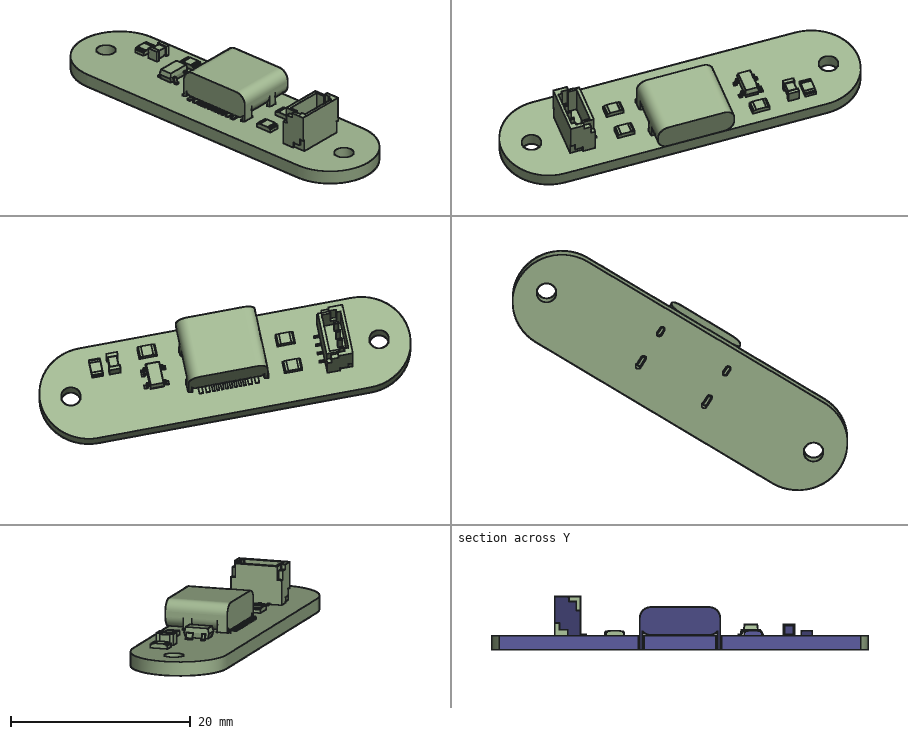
import cadquery as cq

board_length = 42.0
board_width = 11.0
board_thickness = 1.6
mount_hole_diameter = 2.2
mount_hole_x = 17.5

usb_width = 9.0
usb_depth = 7.3
usb_height = 3.15
usb_clearance = 0.05
usb_corner_radius = 1.25
usb_leg_thickness = 0.35
usb_slot_diameter = 0.6
usb_slot_x = 4.33
usb_front_slot_y = -1.3
usb_front_slot_length = 1.7
usb_front_leg_width = 1.18
usb_rear_slot_y = 2.9
usb_rear_slot_length = 1.2
usb_rear_leg_width = 1.0
usb_contact_reach = 0.7
usb_contact_height = 0.13
usb_contact_root = 0.4
usb_signal_count = 8
usb_signal_pitch = 0.5
usb_signal_width = 0.25
usb_power_width = 0.4
usb_power_offsets = (2.4, 3.2)

header_x = 12.5
header_y = 0.13
header_size_x = 2.9
header_size_y = 5.95
header_height = 4.35
header_cavity_min_x = 11.45
header_cavity_max_x = 13.6
header_cavity_size_y = 4.45
header_floor = 1.0
header_key_x = 12.8
header_key_width = 0.67
header_key_size_y = 5.1
header_key_floor = 2.1
header_end_notch = 0.5
header_foot_notch = 0.2
header_outer_notch_x = 11.55
header_outer_notch_z = 2.8
header_inner_notch_x = 12.35
header_inner_notch_z = 3.82
header_foot_step_x = 12.5
header_foot_step_z = 0.65
header_foot_edge_x = 13.45
header_foot_edge_z = 1.4
header_way_count = 4
header_pitch = 1.0
header_pin_x = 12.98
header_pin_length = 0.5
header_pin_width = 0.2
header_pin_top = 3.02
header_lead_reach = 0.65
header_lead_height = 0.13

transistor_x = -7.9
transistor_y = 0.38
transistor_waist_x = 1.6
transistor_waist_y = 2.95
transistor_inset_x = 0.1
transistor_inset_y = 0.15
transistor_bottom_z = 0.1
transistor_waist_z = 0.67
transistor_top_z = 1.25
lead_shoulder_reach = 1.05
lead_heel_reach = 1.18
lead_toe_reach = 1.4
lead_thickness = 0.13
lead_shoulder_z = 0.67
lead_row_y = 0.92
lead_narrow_width = 0.38
lead_wide_width = 0.75

chip_length = 2.0
chip_width = 1.25
resistor_base_height = 0.38
resistor_cap_height = 0.5
resistor_coat_height = 0.55
resistor_cap_step = 0.13
resistor_cap_length = 0.3
capacitor_height = 1.25
capacitor_cap_length = 0.4
capacitor_body_inset = 0.13

capacitor_place = (-12.15, 2.75, 90)
resistor_places = (
    (-14.1, 2.75, 90),
    (-8.15, 3.53, 0),
    (7.22, 1.97, 0),
    (7.4, -1.35, 0),
)


def block(min_x, max_x, min_y, max_y, min_z, max_z):
    """Axis-aligned box given by its limits."""
    size = (max_x - min_x, max_y - min_y, max_z - min_z)
    return cq.Workplane().box(*size, centered=False).translate((min_x, min_y, min_z))


def on_board(body, x, y, angle=0):
    """Turn a body about Z and set it on the board's top face."""
    return body.rotate((0, 0, 0), (0, 0, 1), angle).translate((x, y, board_thickness))


def make_board():
    board = cq.Workplane().slot2D(board_length, board_width).extrude(board_thickness)
    top = board.faces(">Z").workplane(origin=(0, 0, 0))
    board = top.pushPoints([(-mount_hole_x, 0), (mount_hole_x, 0)]).hole(mount_hole_diameter)
    leg_slots = (
        (usb_front_slot_y, usb_front_slot_length),
        (usb_rear_slot_y, usb_rear_slot_length),
    )
    for slot_y, slot_length in leg_slots:
        slots = (
            cq.Workplane()
            .pushPoints([(-usb_slot_x, slot_y), (usb_slot_x, slot_y)])
            .slot2D(slot_length, usb_slot_diameter, 90)
            .extrude(board_thickness)
        )
        board = board.cut(slots)
    return board


def make_usb():
    half_width = usb_width / 2
    mouth_y = board_width / 2
    back_y = mouth_y - usb_depth

    shell = block(-half_width, half_width, back_y, mouth_y, usb_clearance, usb_clearance + usb_height)
    usb = shell.edges("|Y").fillet(usb_corner_radius)

    leg_top = usb_clearance + usb_corner_radius
    rear_leg_min_y = usb_rear_slot_y - usb_rear_leg_width / 2
    leg_starts = ((back_y, usb_front_leg_width), (rear_leg_min_y, usb_rear_leg_width))
    for start_y, width in leg_starts:
        right_leg = block(
            half_width - usb_leg_thickness, half_width,
            start_y, start_y + width,
            -board_thickness, leg_top,
        )
        usb = usb.union(right_leg).union(right_leg.mirror("YZ"))

    contacts = []
    for index in range(usb_signal_count):
        signal_x = (index - (usb_signal_count - 1) / 2) * usb_signal_pitch
        contacts.append((signal_x, usb_signal_width))
    for offset in usb_power_offsets:
        contacts.append((-offset, usb_power_width))
        contacts.append((offset, usb_power_width))
    for contact_x, width in contacts:
        contact = block(
            contact_x - width / 2, contact_x + width / 2,
            back_y - usb_contact_reach, back_y + usb_contact_root,
            0, usb_contact_height,
        )
        usb = usb.union(contact)
    return on_board(usb, 0, 0)


def cut_header_ends(header, min_x, max_x):
    """Step the upper and lower corners of both end faces."""
    end_y = header_size_y / 2
    notches = (
        (min_x, header_outer_notch_x, header_outer_notch_z, header_height, header_end_notch),
        (min_x, header_inner_notch_x, header_inner_notch_z, header_height, header_end_notch),
        (header_foot_step_x, max_x, 0, header_foot_step_z, header_foot_notch),
        (header_foot_edge_x, max_x, 0, header_foot_edge_z, header_foot_notch),
    )
    for start_x, stop_x, start_z, stop_z, depth in notches:
        notch = block(start_x, stop_x, end_y - depth, end_y, start_z, stop_z)
        header = header.cut(notch).cut(notch.mirror("XZ"))
    return header


def make_header():
    """Upright header with an open cavity; built about Y = 0, then moved to its place."""
    min_x = header_x - header_size_x / 2
    max_x = header_x + header_size_x / 2
    end_y = header_size_y / 2
    cavity_y = header_cavity_size_y / 2
    key_y = header_key_size_y / 2

    header = block(min_x, max_x, -end_y, end_y, 0, header_height)
    header = header.cut(block(
        header_cavity_min_x, header_cavity_max_x, -cavity_y, cavity_y, header_floor, header_height,
    ))
    header = header.cut(block(
        header_key_x - header_key_width / 2, header_key_x + header_key_width / 2,
        -key_y, key_y, header_key_floor, header_height,
    ))
    header = cut_header_ends(header, min_x, max_x)

    for index in range(header_way_count):
        way_y = (index - (header_way_count - 1) / 2) * header_pitch
        way_min_y = way_y - header_pin_width / 2
        way_max_y = way_y + header_pin_width / 2
        pin = block(
            header_pin_x - header_pin_length / 2, header_pin_x + header_pin_length / 2,
            way_min_y, way_max_y, header_floor, header_pin_top,
        )
        lead = block(min_x - header_lead_reach, min_x, way_min_y, way_max_y, 0, header_lead_height)
        header = header.union(pin).union(lead)
    return on_board(header, 0, header_y)


def make_lead(width, side, center_y):
    """Gull-wing lead; side is -1 for -X and +1 for +X."""
    shoulder_under = lead_shoulder_z - lead_thickness
    profile = [
        (0, shoulder_under),
        (lead_shoulder_reach - lead_thickness, shoulder_under),
        (lead_heel_reach - lead_thickness, 0),
        (lead_toe_reach, 0),
        (lead_toe_reach, lead_thickness),
        (lead_heel_reach, lead_thickness),
        (lead_shoulder_reach, lead_shoulder_z),
        (0, lead_shoulder_z),
    ]
    points = [(side * reach, height) for reach, height in profile]
    lead = cq.Workplane("XZ").polyline(points).close().extrude(width / 2, both=True)
    return lead.translate((0, center_y, 0))


def make_transistor():
    face_x = transistor_waist_x - 2 * transistor_inset_x
    face_y = transistor_waist_y - 2 * transistor_inset_y

    def half_body(face_z):
        waist_plane = cq.Workplane().workplane(offset=transistor_waist_z)
        waist = waist_plane.rect(transistor_waist_x, transistor_waist_y)
        return waist.workplane(offset=face_z - transistor_waist_z).rect(face_x, face_y).loft()

    body = half_body(transistor_bottom_z).union(half_body(transistor_top_z))

    wide_y = lead_row_y + lead_narrow_width / 2 - lead_wide_width / 2
    body = body.union(make_lead(lead_wide_width, -1, wide_y))
    body = body.union(make_lead(lead_narrow_width, 1, lead_row_y))
    for side in (-1, 1):
        body = body.union(make_lead(lead_narrow_width, side, -lead_row_y))
    return on_board(body, transistor_x, transistor_y)


def make_resistor(x, y, angle):
    """Flat chip: low base, two raised end caps and a thin coat between them."""
    half_length = chip_length / 2
    half_width = chip_width / 2
    cap_outer = half_length - resistor_cap_step
    cap_inner = cap_outer - resistor_cap_length

    resistor = block(-half_length, half_length, -half_width, half_width, 0, resistor_base_height)
    cap = block(cap_inner, cap_outer, -half_width, half_width, 0, resistor_cap_height)
    coat = block(-cap_inner, cap_inner, -half_width, half_width, 0, resistor_coat_height)
    resistor = resistor.union(coat).union(cap).union(cap.mirror("YZ"))
    return on_board(resistor, x, y, angle)


def make_capacitor(x, y, angle):
    """Tall chip: body slightly slimmer than its two end caps."""
    half_length = chip_length / 2
    half_width = chip_width / 2
    cap_inner = half_length - capacitor_cap_length
    body_half_width = half_width - capacitor_body_inset
    body_top = capacitor_height - capacitor_body_inset

    body = block(-cap_inner, cap_inner, -body_half_width, body_half_width, capacitor_body_inset, body_top)
    cap = block(cap_inner, half_length, -half_width, half_width, 0, capacitor_height)
    capacitor = body.union(cap).union(cap.mirror("YZ"))
    return on_board(capacitor, x, y, angle)


board = make_board()
usb = make_usb()
header = make_header()
transistor = make_transistor()
capacitor = make_capacitor(*capacitor_place)
resistors = [make_resistor(*place) for place in resistor_places]

result = cq.Compound.makeCompound([
    board.val(),
    usb.val(),
    header.val(),
    transistor.val(),
    capacitor.val(),
    *[resistor.val() for resistor in resistors],
])